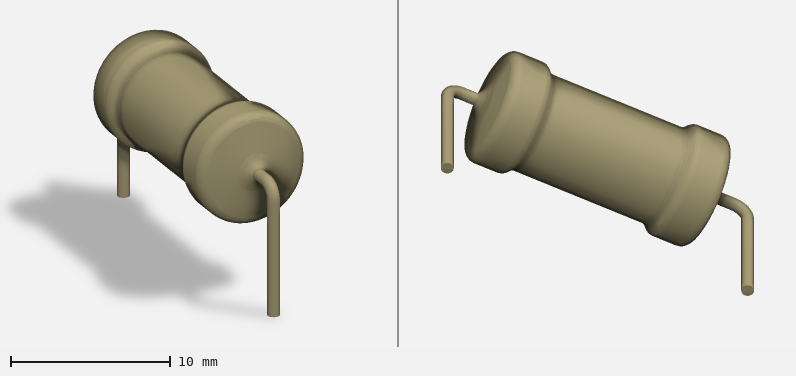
import cadquery as cq
import math


overall_length = 21.8
lead_diameter = 0.8
lead_radius = lead_diameter / 2
bend_radius = 1.0
lead_drop = 8.76
lead_x = overall_length / 2 - lead_radius

cap_diameter = 7.5
barrel_diameter = 6.5
cap_radius = cap_diameter / 2
barrel_radius = barrel_diameter / 2
tip_x = 8.5
root_radius = 1.29
root_x = 8.02
end_face_tilt = math.radians(10.3)
shoulder_x = 5.2
rim_fillet = 0.6
shoulder_fillet = 0.48

neck_x = shoulder_x - (cap_radius - barrel_radius)
rim_x = root_x - (cap_radius - root_radius) * math.tan(end_face_tilt)


def fillet_circle(solid, x, radius):
    """Round the circular edge centred on the axis at the given x."""
    tolerance = 0.002
    circle = solid.edges("%CIRCLE").filter(lambda edge: abs(edge.Center().x - x) < tolerance)
    return solid.newObject(circle.vals()).fillet(radius)


def make_body():
    """Symmetric outline revolved about the X axis, then rounded at its corners."""
    body = (
        cq.Workplane("XZ")
        .moveTo(0, barrel_radius)
        .lineTo(neck_x, barrel_radius)
        .lineTo(shoulder_x, cap_radius)
        .lineTo(rim_x, cap_radius)
        .lineTo(root_x, root_radius)
        .tangentArcPoint((tip_x, lead_radius), relative=False)
        .lineTo(tip_x, 0)
        .lineTo(0, 0)
        .mirrorY()
        .revolve(360, (0, 0, 0), (1, 0, 0))
        .clean()
    )
    for side in (-1, 1):
        body = fillet_circle(body, side * rim_x, rim_fillet)
        body = fillet_circle(body, side * shoulder_x, shoulder_fillet)
        body = fillet_circle(body, side * neck_x, shoulder_fillet)
    return body


def make_right_lead():
    """Right lead: out along the axis, round the bend and straight down."""
    path = (
        cq.Workplane("XZ")
        .lineTo(lead_x - bend_radius, 0)
        .tangentArcPoint((lead_x, -bend_radius), relative=False)
        .lineTo(lead_x, -lead_drop)
    )
    return cq.Workplane("YZ").circle(lead_radius).sweep(path)


right_lead = make_right_lead()
left_lead = right_lead.mirror("YZ")
result = make_body().union(right_lead).union(left_lead)